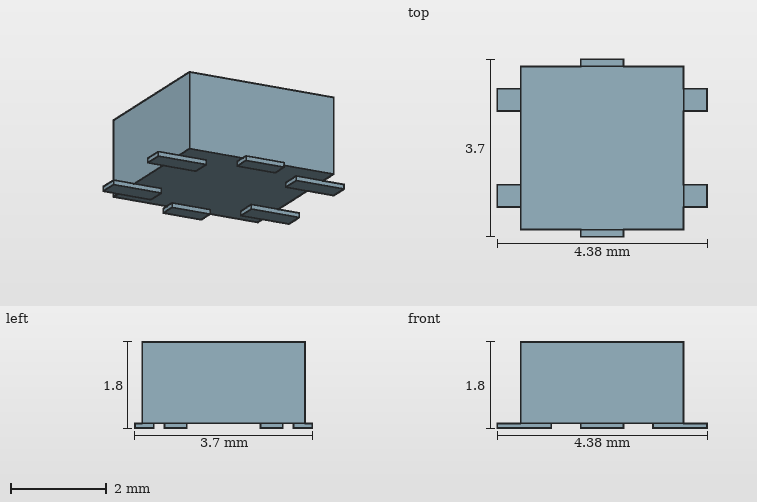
import cadquery as cq

overall_length = 4.38
overall_width = 3.7
overall_height = 1.8

housing_side = 3.4
pad_thickness = 0.1
housing_height = overall_height - pad_thickness

corner_pad_length = 1.13
corner_pad_width = 0.47
corner_pad_pitch = 2.0

middle_pad_length = 0.9
middle_pad_width = 0.4


def make_block(length, width, height, center_x, center_y, bottom_z):
    """Box centred on (center_x, center_y) and standing on bottom_z."""
    block = cq.Workplane("XY").box(length, width, height, centered=(True, True, False))
    return block.translate((center_x, center_y, bottom_z))


def make_housing():
    return make_block(housing_side, housing_side, housing_height, 0, 0, pad_thickness)


def make_corner_pad(side_x, side_y):
    """Pad whose outer end lies on the overall length."""
    center_x = side_x * (overall_length - corner_pad_length) / 2
    center_y = side_y * corner_pad_pitch / 2
    return make_block(corner_pad_length, corner_pad_width, pad_thickness, center_x, center_y, 0)


def make_middle_pad(side_y):
    """Pad whose outer edge lies on the overall width."""
    center_y = side_y * (overall_width - middle_pad_width) / 2
    return make_block(middle_pad_length, middle_pad_width, pad_thickness, 0, center_y, 0)


housing = make_housing()
corner_pads = [make_corner_pad(side_x, side_y) for side_x in (-1, 1) for side_y in (-1, 1)]
middle_pads = [make_middle_pad(side_y) for side_y in (-1, 1)]

result = cq.Compound.makeCompound([
    housing.val(),
    *[pad.val() for pad in corner_pads],
    *[pad.val() for pad in middle_pads],
])